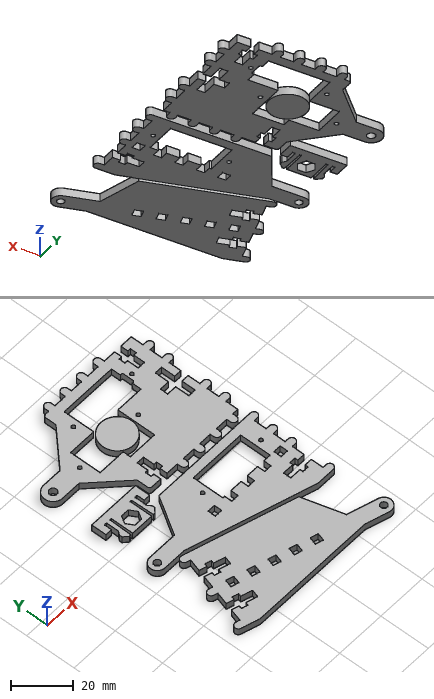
import cadquery as cq
import math

sheet = 3.0

joint_width = sheet
joint_steps = 4
joint_span = 32.0
joint_pitch = joint_span / joint_steps
tab_length = 3.0

bolt_slot_depth = 10.0
nut_pocket_start = 3.0
nut_thickness = 2.5
nut_width = 5.5

servo_length = 22.9
servo_width = 12.4
servo_screw_offset = 14.2
servo_screw_diameter = 1.5

base_axis_y = 86.4
base_left = 25.2
base_right = 67.9
base_width = 45.0
base_top = base_axis_y + base_width / 2
base_bottom = base_axis_y - base_width / 2
base_corner_radius = 1.0
tail_x = 4.0
base_tail_radius = 4.0
base_tail_hole = 3.0
base_shoulder = 17.1
top_joints_x = 29.3
bottom_joints_x = 32.0
upper_servo_x = 42.4
lower_servo_x = 31.2
horn_relief_depth = 3.0
cable_notch_width = 5.0
cable_notch_depth = 1.0
cross_slot_width = 14.1

side_tail_radius = 3.2
side_tail_hole = 2.7
side_edge = base_right - tail_x
side_half_height = (joint_span + joint_width) / 2
side_neck_top = 12.1
side_neck_bottom = 9.3
side_shoulder = 20.9
side_heel = 58.1
side_slope = math.degrees(math.atan2(side_half_height - side_tail_radius, side_heel - side_neck_bottom))
servo_side_y = 42.4
servo_side_sockets = bottom_joints_x - tail_x
servo_side_window = 45.1
plain_side_x = 69.0
plain_side_y = side_tail_radius
plain_side_sockets = 25.4

disc_x = 35.3
disc_diameter = 14.0

clip_x = 12.5
clip_top = 68.3
clip_width = 21.3
clip_height = 12.1
clip_bar = 3.0
hook_height = 6.0
hook_inside = 8.0
leg_outside = 6.9
leg_inside_top = 5.3
leg_inside_bottom = 5.5
tongue_half_width = 4.6
barb_top = 8.1
barb_flat_top = 9.4
barb_flat_bottom = 10.5
barb_tip = 6.3
clip_nut_corners = 6.5
clip_nut_drop = 7.6


def block(x_min, x_max, y_min, y_max):
    """A sheet-thick rectangle between two X and two Y limits."""
    return (
        cq.Workplane("XY")
        .rect(x_max - x_min, y_max - y_min)
        .extrude(sheet)
        .translate(((x_min + x_max) / 2, (y_min + y_max) / 2, 0))
    )


def cylinder(x, y, diameter):
    return cq.Workplane("XY").center(x, y).circle(diameter / 2).extrude(sheet)


def at_edge(shape, x, y, heading):
    """Turn a shape made for an edge facing +X so that it faces `heading`, then move it to the edge."""
    return shape.rotate((0, 0, 0), (0, 0, 1), heading).translate((x, y, 0))


def tab(x, y, heading):
    """A round-ended tab; its inner half lies inside the panel."""
    return at_edge(cq.Workplane("XY").slot2D(2 * tab_length, joint_width).extrude(sheet), x, y, heading)


def bolt_slot(x, y, heading, pocket_width=nut_width, pocket_length=nut_thickness):
    channel = block(-bolt_slot_depth, 0, -joint_width / 2, joint_width / 2)
    pocket_end = -nut_pocket_start - pocket_length
    pocket = block(pocket_end, -nut_pocket_start, -pocket_width / 2, pocket_width / 2)
    return at_edge(channel.union(pocket), x, y, heading)


def servo_opening(x, y):
    """A servo body opening with its two screw holes."""
    opening = block(
        x - servo_length / 2, x + servo_length / 2, y - servo_width / 2, y + servo_width / 2
    )
    for side in (-1, 1):
        opening = opening.union(cylinder(x + side * servo_screw_offset, y, servo_screw_diameter))
    return opening


def base_plate():
    """The plain base outline: a rectangle narrowing at 45 degrees to a round-ended tail.

    The four convex corners at its left side are rounded.
    """
    neck_x = base_left - (base_shoulder - base_tail_radius)
    neck_top = base_axis_y + base_tail_radius
    neck_bottom = base_axis_y - base_tail_radius
    plate = (
        cq.Workplane("XY")
        .moveTo(base_left, base_top)
        .lineTo(base_right, base_top)
        .lineTo(base_right, base_bottom)
        .lineTo(base_left, base_bottom)
        .lineTo(base_left, base_axis_y - base_shoulder)
        .lineTo(neck_x, neck_bottom)
        .lineTo(tail_x, neck_bottom)
        .threePointArc((tail_x - base_tail_radius, base_axis_y), (tail_x, neck_top))
        .lineTo(neck_x, neck_top)
        .lineTo(base_left, base_axis_y + base_shoulder)
        .close()
        .extrude(sheet)
    )
    shoulders = (base_axis_y + base_shoulder, base_axis_y - base_shoulder)
    for y in (base_top, base_bottom, *shoulders):
        corner = cq.selectors.NearestToPointSelector((base_left, y, sheet / 2))
        plate = plate.edges("|Z").edges(corner).fillet(base_corner_radius)
    return plate


def base_window():
    """Two overlapping servo openings, a relief below them and a rounded cable notch."""
    upper_y = base_axis_y + servo_width
    relief_top = base_axis_y - servo_width / 2
    relief = block(
        upper_servo_x - servo_length / 2,
        lower_servo_x + servo_length / 2,
        relief_top - horn_relief_depth,
        relief_top,
    )
    notch = (
        cq.Workplane("XY")
        .rect(2 * cable_notch_depth, cable_notch_width)
        .extrude(sheet)
        .edges("|Z")
        .fillet(cable_notch_depth / 2)
        .translate((upper_servo_x + servo_length / 2, upper_y, 0))
    )
    window = servo_opening(upper_servo_x, upper_y).union(servo_opening(lower_servo_x, base_axis_y))
    return window.union(relief).union(notch)


def make_base():
    base = base_plate()
    for step in range(joint_steps):
        base = base.union(tab(top_joints_x + step * joint_pitch, base_top, 90))
        base = base.union(tab(bottom_joints_x + (step + 1) * joint_pitch, base_bottom, -90))
    for step in (-2, -1, 1, 2):
        base = base.union(tab(base_right, base_axis_y + step * joint_pitch, 0))
    return (
        base.cut(bolt_slot(top_joints_x + joint_span, base_top, 90))
        .cut(bolt_slot(bottom_joints_x, base_bottom, -90))
        .cut(bolt_slot(base_right, base_axis_y, 0, cross_slot_width, joint_width))
        .cut(base_window())
        .cut(cylinder(tail_x, base_axis_y, base_tail_hole))
    )


def side_panel(slot_steps, first_socket):
    """A side panel with its tail hole at the origin and its jointed edge facing +X.

    The jointed edge has a bolt slot at each of `slot_steps` and a tab at every other step.
    Square sockets follow the axis from `first_socket`.
    """
    panel = (
        cq.Workplane("XY")
        .moveTo(0, side_tail_radius)
        .lineTo(side_neck_top, side_tail_radius)
        .lineTo(side_shoulder, side_half_height)
        .lineTo(side_edge, side_half_height)
        .lineTo(side_edge, -side_half_height)
        .lineTo(side_heel, -side_half_height)
        .lineTo(side_neck_bottom, -side_tail_radius)
        .lineTo(0, -side_tail_radius)
        .threePointArc((-side_tail_radius, 0), (0, side_tail_radius))
        .close()
        .extrude(sheet)
        .cut(cylinder(0, 0, side_tail_hole))
    )
    for step in range(-2, 3):
        y = step * joint_pitch
        if step in slot_steps:
            panel = panel.cut(bolt_slot(side_edge, y, 0))
        else:
            panel = panel.union(tab(side_edge, y, 0))
    half = joint_width / 2
    for step in range(joint_steps + 1):
        x = first_socket + step * joint_pitch
        panel = panel.cut(block(x - half, x + half, -half, half))
    return panel


def make_servo_side():
    """Side panel whose servo opening stands on the row of sockets."""
    window_y = (joint_width + servo_width) / 2
    panel = side_panel((-1,), servo_side_sockets).cut(servo_opening(servo_side_window, window_y))
    return panel.translate((tail_x, servo_side_y, 0))


def make_plain_side():
    """Opposite side panel: mirrored, and turned until its sloping edge lies along X."""
    panel = side_panel((-1, 1), plain_side_sockets)
    return (
        panel.mirror("YZ")
        .rotate((0, 0, 0), (0, 0, 1), -side_slope)
        .translate((plain_side_x, plain_side_y, 0))
    )


def clip_leg():
    """The right-hand spring leg with its outward barb, hanging from the bar at Y = 0."""
    return (
        cq.Workplane("XY")
        .moveTo(leg_inside_top, -clip_bar)
        .lineTo(leg_outside, -clip_bar)
        .lineTo(leg_outside, -barb_top)
        .lineTo(hook_inside, -barb_flat_top)
        .lineTo(hook_inside, -barb_flat_bottom)
        .lineTo(barb_tip, -clip_height)
        .lineTo(leg_inside_bottom, -clip_height)
        .close()
        .extrude(sheet)
    )


def make_clip():
    half = clip_width / 2
    clip = block(-half, half, -clip_bar, 0)
    clip = clip.union(block(-tongue_half_width, tongue_half_width, -clip_height, -clip_bar))
    hook = block(hook_inside, half, -hook_height, -clip_bar)
    for part in (hook, clip_leg()):
        clip = clip.union(part).union(part.mirror("YZ"))
    nut = cq.Workplane("XY").center(0, -clip_nut_drop).polygon(6, clip_nut_corners).extrude(sheet)
    return clip.cut(nut).translate((clip_x, clip_top, 0))


base = make_base()
servo_side = make_servo_side()
plain_side = make_plain_side()
clip = make_clip()
disc = cylinder(disc_x, base_axis_y, disc_diameter)

result = cq.Compound.makeCompound(
    [body.solids().val() for body in (base, servo_side, plain_side, clip, disc)]
)